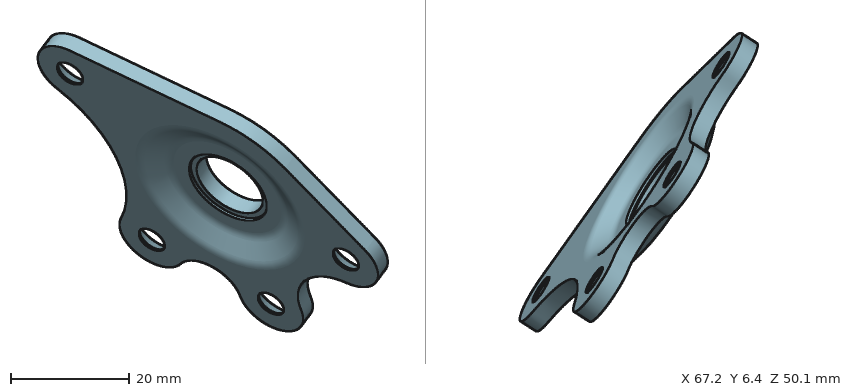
import cadquery as cq
import math

plate_thickness = 3.2
total_depth = 6.4
hub_radius = 21.0

lug_radius = 6.4
lug_hole_radius = 2.55
lug_hole_straight_depth = 0.4
countersink_radius = 5.0
upper_left = (-29.6, hub_radius - lug_radius)
lower_left = (-13.5, -20.7)
lower_right = (10.0, -22.7)
upper_right = (24.75, -0.6)
left_scallop_radius = 22.45
bottom_scallop_radius = 6.4
right_scallop_radius = 10.0

dome_flat_radius = 8.8
dome_bend_radius = 17.15
dome_slope = math.radians(32)

dish_depth = 2.55
dish_floor_radius = 10.6
dish_mouth_radius = 16.7
dish_slope = math.radians(30)
bore_radius = 6.5
bore_rim_radius = 7.65
bore_rim_depth = 0.6


def toward(center, other, distance):
    """Point at a given distance from center on the way to other."""
    angle = math.atan2(other[1] - center[1], other[0] - center[0])
    return polar(center, distance, angle)


def polar(center, radius, angle):
    return (center[0] + radius * math.cos(angle), center[1] + radius * math.sin(angle))


def scallop(first, second, radius):
    """Start, middle and end of a concave arc tangent to two lugs.

    Its center lies to the right of the direction from first to second.
    """
    dx = second[0] - first[0]
    dz = second[1] - first[1]
    span = math.hypot(dx, dz)
    offset = math.sqrt((radius + lug_radius) ** 2 - (span / 2) ** 2)
    center = (
        (first[0] + second[0]) / 2 + offset * dz / span,
        (first[1] + second[1]) / 2 - offset * dx / span,
    )
    middle = polar(center, radius, math.atan2(dx, -dz))
    return toward(first, center, lug_radius), middle, toward(second, center, lug_radius)


def lug_outer_point(center):
    """Point of a lug's rim farthest from the hub."""
    return toward(center, (0, 0), -lug_radius)


def make_plate():
    left = scallop(upper_left, lower_left, left_scallop_radius)
    bottom = scallop(lower_left, lower_right, bottom_scallop_radius)
    right = scallop(lower_right, upper_right, right_scallop_radius)

    lug_distance = math.hypot(*upper_right)
    lug_direction = math.atan2(upper_right[1], upper_right[0])
    normal = lug_direction + math.acos((hub_radius - lug_radius) / lug_distance)
    slope_start = polar(upper_right, lug_radius, normal)
    slope_end = polar((0, 0), hub_radius, normal)
    hub_middle = polar((0, 0), hub_radius, (normal + math.pi / 2) / 2)
    top_left = (upper_left[0], hub_radius)

    outline = (
        cq.Workplane("XZ")
        .moveTo(*top_left)
        .threePointArc(lug_outer_point(upper_left), left[0])
        .threePointArc(left[1], left[2])
        .threePointArc(lug_outer_point(lower_left), bottom[0])
        .threePointArc(bottom[1], bottom[2])
        .threePointArc(lug_outer_point(lower_right), right[0])
        .threePointArc(right[1], right[2])
        .threePointArc(lug_outer_point(upper_right), slope_start)
        .lineTo(*slope_end)
        .threePointArc(hub_middle, (0, hub_radius))
        .close()
    )
    return outline.extrude(-plate_thickness)


def revolve_about_hub(profile):
    """Close a half profile and spin it around the Y axis."""
    return profile.close().revolve(360, (0, 0, 0), (0, 1, 0))


def make_dome():
    def bend_point(angle):
        center = (dome_flat_radius, total_depth - dome_bend_radius)
        return polar(center, dome_bend_radius, math.pi / 2 - angle)

    bend_end = bend_point(dome_slope)
    base_radius = bend_end[0] + (bend_end[1] - plate_thickness) / math.tan(dome_slope)
    profile = (
        cq.Workplane("XY")
        .lineTo(0, total_depth)
        .lineTo(dome_flat_radius, total_depth)
        .threePointArc(bend_point(dome_slope / 2), bend_end)
        .lineTo(base_radius, plate_thickness)
        .lineTo(base_radius, 0)
    )
    return revolve_about_hub(profile)


def make_dish():
    width = dish_mouth_radius - dish_floor_radius
    bend_radius = (width * math.tan(dish_slope) - dish_depth) / (
        2 * (math.sin(dish_slope) * math.tan(dish_slope) - 1 + math.cos(dish_slope))
    )

    def floor_bend(angle):
        return polar((dish_floor_radius, dish_depth - bend_radius), bend_radius, math.pi / 2 - angle)

    def mouth_bend(angle):
        return polar((dish_mouth_radius, bend_radius), bend_radius, -math.pi / 2 - angle)

    profile = (
        cq.Workplane("XY")
        .lineTo(0, dish_depth)
        .lineTo(dish_floor_radius, dish_depth)
        .threePointArc(floor_bend(dish_slope / 2), floor_bend(dish_slope))
        .lineTo(*mouth_bend(dish_slope))
        .threePointArc(mouth_bend(dish_slope / 2), (dish_mouth_radius, 0))
    )
    return revolve_about_hub(profile)


def make_bore():
    rim_bottom = dish_depth + bore_rim_depth
    profile = (
        cq.Workplane("XY")
        .lineTo(bore_rim_radius, 0)
        .lineTo(bore_rim_radius, rim_bottom)
        .lineTo(bore_radius, rim_bottom)
        .lineTo(bore_radius, total_depth)
        .lineTo(0, total_depth)
    )
    return revolve_about_hub(profile)


def make_lug_hole(center):
    """Short straight hole at the front, opening into a countersink at the back."""
    profile = (
        cq.Workplane("XY")
        .lineTo(lug_hole_radius, 0)
        .lineTo(lug_hole_radius, lug_hole_straight_depth)
        .lineTo(countersink_radius, plate_thickness)
        .lineTo(0, plate_thickness)
    )
    return revolve_about_hub(profile).translate((center[0], 0, center[1]))


result = make_plate().union(make_dome()).cut(make_dish()).cut(make_bore())
for lug_center in (upper_left, lower_left, lower_right, upper_right):
    result = result.cut(make_lug_hole(lug_center))